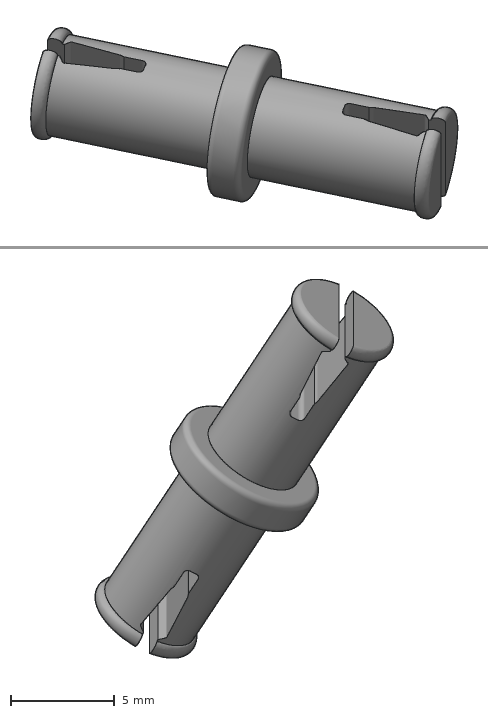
import cadquery as cq

length = 20.0
shaft_diameter = 5.0
collar_diameter = 7.5
collar_width = 1.75
collar_fillet = 0.3
lip_diameter = 5.5
lip_width = 0.75

slot_width = 0.8
slot_depth = 5.0
slot_end_fillet = 0.25
flare_start = 0.85
flare_peak = 1.1
flare_taper_end = 3.65
flare_end = 3.85
flare_peak_width = 1.45
flare_taper_end_width = 0.95
flare_peak_fillet = 0.12


def disc(diameter, width):
    """Round disc along X, centred on the origin."""
    return cq.Workplane("YZ", origin=(-width / 2, 0, 0)).circle(diameter / 2).extrude(width)


def end_lip():
    """Lip at the -X end: a ring with a half-ellipse section standing on the shaft."""
    lip_height = (lip_diameter - shaft_diameter) / 2
    section = (
        cq.Workplane("XY", origin=((lip_width - length) / 2, shaft_diameter / 2, 0))
        .ellipseArc(lip_width / 2, lip_height, 0, 180, startAtCurrent=False)
        .lineTo(-lip_width / 2, -shaft_diameter / 2)
        .lineTo(lip_width / 2, -shaft_diameter / 2)
        .close()
    )
    axis_start = (0, -shaft_diameter / 2)
    axis_end = (1, -shaft_diameter / 2)
    return section.revolve(360, axis_start, axis_end)


def end_slot():
    """Cutter for the slot in the -X end, passing through the shaft along Z."""
    end_x = -length / 2
    channel = (
        cq.Workplane("XY")
        .box(2 * slot_depth, slot_width, lip_diameter)
        .edges("|Z and >X")
        .fillet(slot_end_fillet)
        .translate((end_x, 0, 0))
    )
    upper_side = [
        (flare_start, slot_width / 2),
        (flare_peak, flare_peak_width / 2),
        (flare_taper_end, flare_taper_end_width / 2),
        (flare_end, slot_width / 2),
    ]
    lower_side = [(x, -y) for x, y in reversed(upper_side)]
    flare = (
        cq.Workplane("XY", origin=(end_x, 0, -lip_diameter / 2))
        .polyline(upper_side + lower_side)
        .close()
        .extrude(lip_diameter)
    )
    peak_edges = cq.selectors.BoxSelector(
        (end_x + flare_start + flare_peak_fillet, -flare_peak_width, -lip_diameter),
        (end_x + flare_peak + flare_peak_fillet, flare_peak_width, lip_diameter),
    )
    flare = flare.edges("|Z").edges(peak_edges).fillet(flare_peak_fillet)
    return channel.union(flare)


collar = disc(collar_diameter, collar_width).edges().fillet(collar_fillet)
result = disc(shaft_diameter, length).union(collar)

lip = end_lip()
result = result.union(lip).union(lip.mirror("YZ"))

slot = end_slot()
result = result.cut(slot).cut(slot.mirror("YZ"))